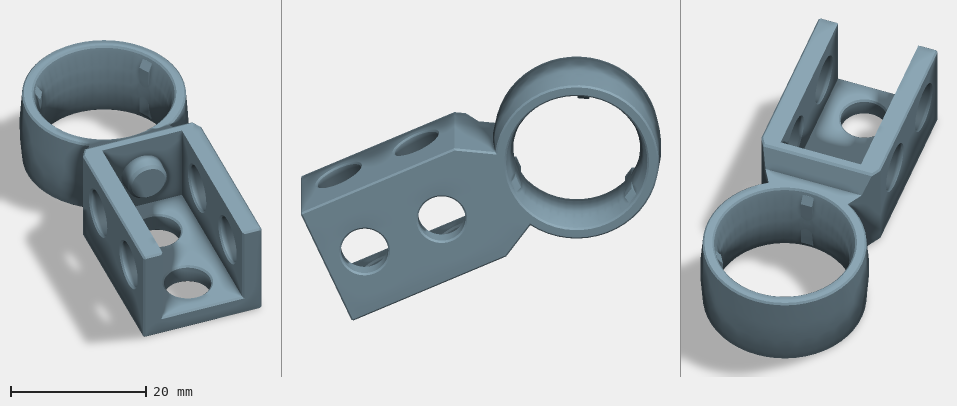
import cadquery as cq
import math

length = 53.1
module = length / 4.25
edge_chamfer = 0.25

ring_height = module
ring_radius = module
ring_crown = 0.35
bore_radius = 0.75 * module
bore_crown = 1.05

pad_count = 3
pad_width = 1.75
pad_distance = 9.4
pad_flat_height = 8.6
pad_tip_run = 0.85
pad_tip_angle = 55.0

clevis_start = 1.25 * module
clevis_end = length - ring_radius
clevis_width = 1.5 * module
clevis_height = 1.25 * module
slot_width = 12.65
floor_thickness = 0.25 * module

neck_angle = 30.0
step_start = ring_radius
step_angle = 60.0

hole_diameter = 7.0
hole_positions = (1.75 * module, 2.75 * module)
hole_height = 0.75 * module

boss_length = 2.6
boss_root_radius = 3.25
boss_waist_radius = 3.15
boss_tip_radius = 3.1
boss_chamfer = 0.4


def revolve_about_z(sketch):
    """Close a profile drawn in the XZ plane and turn it around the Z axis."""
    return sketch.close().revolve(360, (0, 0), (0, 1))


def make_crowned_drum(mid_radius, end_radius, face_radius):
    """Drum of ring height: arched wall, with chamfers from end_radius to face_radius."""
    return revolve_about_z(
        cq.Workplane("XZ")
        .lineTo(face_radius, 0)
        .lineTo(end_radius, edge_chamfer)
        .threePointArc((mid_radius, ring_height / 2), (end_radius, ring_height - edge_chamfer))
        .lineTo(face_radius, ring_height)
        .lineTo(0, ring_height)
    )


def make_ring_blank():
    end_radius = ring_radius - ring_crown
    return make_crowned_drum(ring_radius, end_radius, end_radius - edge_chamfer)


def make_bore():
    end_radius = bore_radius + bore_crown
    return make_crowned_drum(bore_radius, end_radius, end_radius + edge_chamfer)


def make_pad(angle):
    mid = ring_height / 2
    flat = pad_flat_height / 2
    reach = flat + pad_tip_run * math.tan(math.radians(pad_tip_angle))
    root = pad_distance + pad_tip_run
    buried = (bore_radius + ring_radius) / 2
    return (
        cq.Workplane("XZ")
        .polyline([
            (pad_distance, mid - flat),
            (root, mid - reach),
            (buried, mid - reach),
            (buried, mid + reach),
            (root, mid + reach),
            (pad_distance, mid + flat),
        ])
        .close()
        .extrude(pad_width / 2, both=True)
        .rotate((0, 0, 0), (0, 0, 1), angle)
    )


def make_clevis():
    """Slotted block with its tapered, stepped neck reaching back to the ring axis."""
    half_width = clevis_width / 2
    tip_half_width = half_width - clevis_start * math.tan(math.radians(neck_angle))
    step_run = (clevis_height - ring_height) / math.tan(math.radians(step_angle))
    outline = (
        cq.Workplane("XY")
        .polyline([
            (0, -tip_half_width),
            (clevis_start, -half_width),
            (clevis_end, -half_width),
            (clevis_end, half_width),
            (clevis_start, half_width),
            (0, tip_half_width),
        ])
        .close()
        .extrude(clevis_height)
    )
    side = (
        cq.Workplane("XZ")
        .polyline([
            (0, 0),
            (clevis_end, 0),
            (clevis_end, clevis_height),
            (step_start + step_run, clevis_height),
            (step_start, ring_height),
            (0, ring_height),
        ])
        .close()
        .extrude(half_width, both=True)
    )
    blank = outline.intersect(side).faces(">Z").edges("not >X").chamfer(edge_chamfer)
    slot = (
        cq.Workplane("XY", origin=(clevis_start, 0, floor_thickness))
        .box(clevis_end - clevis_start, slot_width, clevis_height, centered=(False, True, False))
    )
    return blank.cut(slot).faces(">X or <Z").chamfer(edge_chamfer)


def make_hole(start, direction, depth):
    """Straight hole with a chamfer at both ends."""
    radius = hole_diameter / 2
    wide = radius + edge_chamfer
    cutter = revolve_about_z(
        cq.Workplane("XZ").polyline([
            (0, 0),
            (wide, 0),
            (radius, edge_chamfer),
            (radius, depth - edge_chamfer),
            (wide, depth),
            (0, depth),
        ])
    )
    plane = cq.Plane(origin=start, xDir=(1, 0, 0), normal=direction)
    return cq.Workplane(obj=cutter.val().moved(cq.Location(plane)))


def make_boss():
    """Waisted pin along X, revolved about its own axis."""
    shoulder = boss_length - boss_chamfer
    return (
        cq.Workplane("XY", origin=(clevis_start, 0, hole_height))
        .lineTo(0, boss_root_radius)
        .threePointArc((shoulder / 2, boss_waist_radius), (shoulder, boss_tip_radius))
        .lineTo(boss_length, boss_tip_radius - boss_chamfer)
        .lineTo(boss_length, 0)
        .close()
        .revolve(360, (0, 0), (1, 0))
    )


result = make_clevis()

arm_thickness = (clevis_width - slot_width) / 2
for x in hole_positions:
    result = result.cut(make_hole((x, 0, 0), (0, 0, 1), floor_thickness))
    for side in (-1, 1):
        outer_face = (x, side * clevis_width / 2, hole_height)
        result = result.cut(make_hole(outer_face, (0, -side, 0), arm_thickness))

result = result.union(make_boss())

result = result.union(make_ring_blank()).cut(make_bore())

for index in range(pad_count):
    result = result.union(make_pad(index * 360 / pad_count))